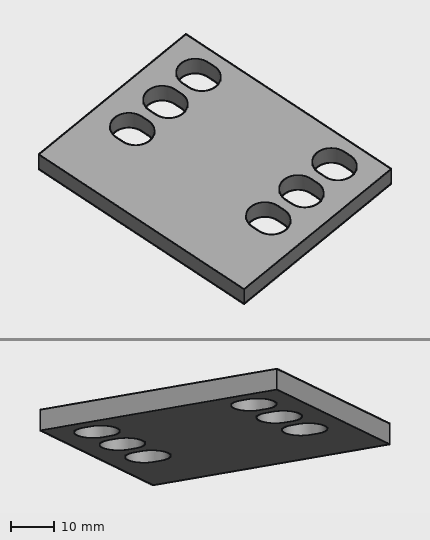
import cadquery as cq

plate_length = 63.5
plate_width = 50.8
plate_thickness = 5.0

slot_length = 10.8
slot_width = 8.75
column_spacing = 42.05
row_pitch = 11.4
rows_per_column = 3
back_edge_to_first_row = 7.6

first_row_y = plate_width / 2 - back_edge_to_first_row
slot_centers = [
    (side * column_spacing / 2, first_row_y - row * row_pitch)
    for side in (-1, 1)
    for row in range(rows_per_column)
]

plate = cq.Workplane("XY").box(plate_length, plate_width, plate_thickness)

result = (
    plate.faces(">Z")
    .workplane()
    .pushPoints(slot_centers)
    .slot2D(slot_length, slot_width)
    .cutThruAll()
)